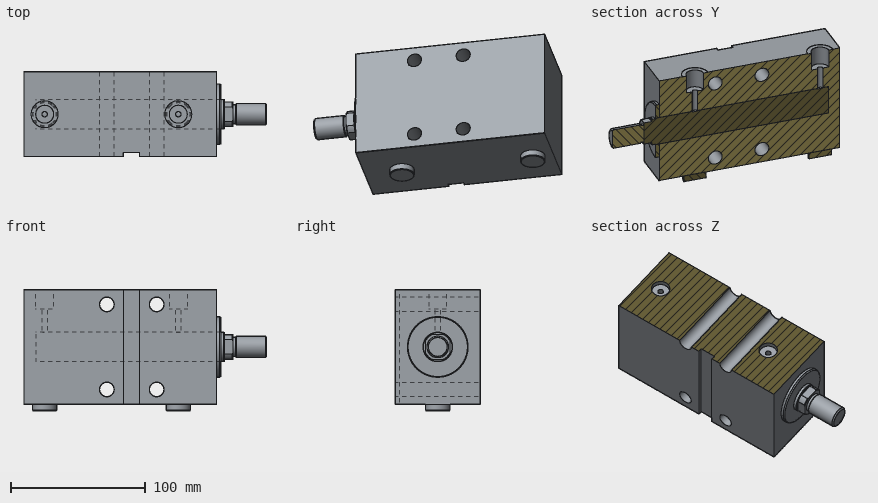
import cadquery as cq

block_length = 143.0
block_width = 63.0
block_height = 85.0
edge_chamfer = 0.4
axis_z = block_height / 2

groove_start = 73.8
groove_width = 11.9
groove_depth = 3.0

mount_hole_diameter = 10.6
mount_hole_first_x = 61.5
mount_hole_pitch_x = 36.9
mount_hole_pitch_z = 63.0

port_first_x = 15.5
port_pitch = 99.0
port_xs = [port_first_x, port_first_x + port_pitch]
spotface_diameter = 20.0
spotface_depth = 0.2
port_diameter = 13.3
port_depth = 14.4
oilway_diameter = 4.0

foot_diameter = 18.2
foot_height = 4.9
foot_chamfer = 0.5

gland_diameter = 45.0
gland_thickness = 3.0
gland_chamfer_length = 1.0
gland_chamfer_depth = 0.5

rod_diameter = 22.0
rod_start = 9.0
collar_end = 148.9
collar_chamfer_length = 0.7
wrench_diameter = 21.2
wrench_across_flats = 18.4
wrench_end = 155.0
wrench_chamfer = 0.5

neck_diameter = 14.4
thread_diameter = 16.0
thread_start = 157.5
thread_start_taper = 0.5
stud_end = 180.0
stud_end_chamfer = 1.0


def turned(profile):
    """Revolve (x, radius) points around the rod axis; the profile closes along the axis."""
    points = [(profile[0][0], 0), *profile, (profile[-1][0], 0)]
    half_section = cq.Workplane("XZ", origin=(0, 0, axis_z)).polyline(points).close()
    return half_section.revolve(360, (0, 0), (1, 0))


def vertical_hole(x, diameter, depth):
    """Cutter going down from the top face."""
    return cq.Workplane("XY", origin=(x, 0, block_height)).circle(diameter / 2).extrude(-depth)


def make_block():
    body = cq.Workplane("XY").box(block_length, block_width, block_height, centered=(False, True, False))
    body = body.edges("|X").chamfer(edge_chamfer)

    groove = cq.Workplane("XY").box(groove_width, groove_depth, block_height, centered=False)
    body = body.cut(groove.translate((groove_start, -block_width / 2, 0)))

    mount_holes = (
        cq.Workplane("XZ", origin=(mount_hole_first_x + mount_hole_pitch_x / 2, 0, axis_z))
        .rarray(mount_hole_pitch_x, mount_hole_pitch_z, 2, 2)
        .circle(mount_hole_diameter / 2)
        .extrude(block_width, both=True)
    )
    body = body.cut(mount_holes)

    for x in port_xs:
        body = body.cut(vertical_hole(x, spotface_diameter, spotface_depth))
        body = body.cut(vertical_hole(x, port_diameter, port_depth))
        body = body.cut(vertical_hole(x, oilway_diameter, block_height - axis_z))

    rod_radius = rod_diameter / 2
    bore = turned([(rod_start, rod_radius), (block_length, rod_radius)])
    return body.cut(bore)


def make_gland():
    gland_end = block_length + gland_thickness
    radius = gland_diameter / 2
    ring = turned([
        (block_length, radius),
        (gland_end - gland_chamfer_length, radius),
        (gland_end, radius - gland_chamfer_depth),
    ])
    rod_hole = turned([(block_length, rod_diameter / 2), (gland_end, rod_diameter / 2)])
    return ring.cut(rod_hole)


def make_rod():
    rod_radius = rod_diameter / 2
    wrench_radius = wrench_diameter / 2
    shaft = turned([
        (rod_start, rod_radius),
        (collar_end - collar_chamfer_length, rod_radius),
        (collar_end, wrench_radius),
        (wrench_end - wrench_chamfer, wrench_radius),
        (wrench_end, wrench_radius - wrench_chamfer),
    ])
    wrench_length = wrench_end - collar_end
    wrench_zone = cq.Workplane("YZ", origin=(collar_end, 0, axis_z)).rect(rod_diameter, rod_diameter)
    wrench_square = cq.Workplane("YZ", origin=(collar_end, 0, axis_z)).rect(
        wrench_across_flats, wrench_across_flats
    )
    flats = wrench_zone.extrude(wrench_length).cut(wrench_square.extrude(wrench_length))
    return shaft.cut(flats)


def make_stud():
    neck_radius = neck_diameter / 2
    thread_radius = thread_diameter / 2
    return turned([
        (wrench_end, neck_radius),
        (thread_start - thread_start_taper, neck_radius),
        (thread_start, thread_radius),
        (stud_end - stud_end_chamfer, thread_radius),
        (stud_end, thread_radius - stud_end_chamfer),
    ])


def make_foot(x):
    disc = cq.Workplane("XY", origin=(x, 0, 0)).circle(foot_diameter / 2).extrude(-foot_height)
    return disc.faces("<Z").edges().chamfer(foot_chamfer)


block = make_block()
gland = make_gland()
rod = make_rod()
stud = make_stud()
feet = [make_foot(x) for x in port_xs]

result = cq.Compound.makeCompound([
    block.val(),
    gland.val(),
    rod.val(),
    stud.val(),
    *[foot.val() for foot in feet],
])